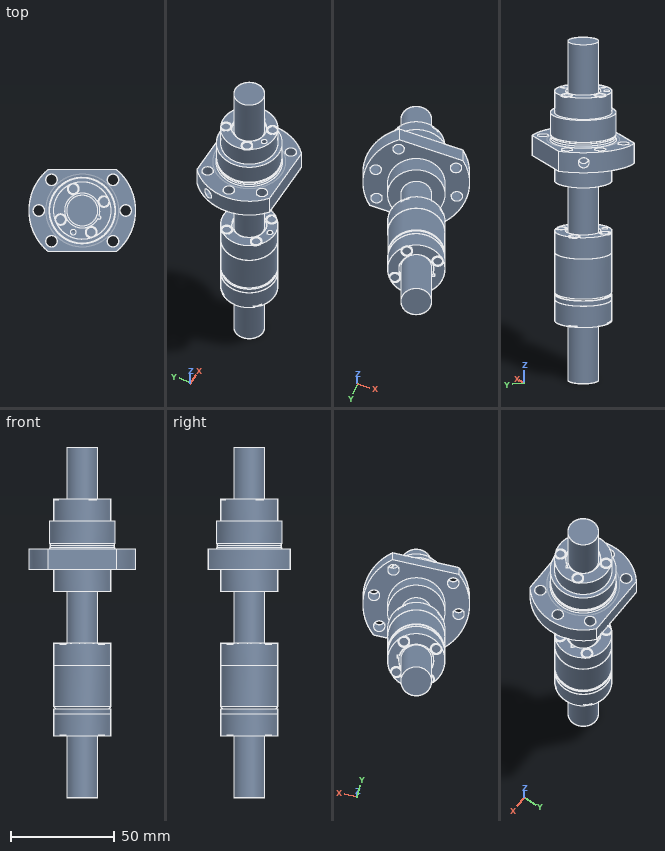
import cadquery as cq
import math

shaft_length = 170.0
shaft_radius = 7.5

nut_length = 45.0
cap_length = 10.7
cap_radius = 14.0
seal_recess_radius = 8.5
seal_recess_depth = 1.7
seal_notch_radius = 0.8
seal_notch_offset = 8.8
seal_notch_turn = -45.0
screw_circle_radius = 11.4
screw_recess_diameter = 5.6
screw_recess_depth = 0.5
screw_head_radius = 2.4
pin_hole_turn = -135.0
pin_hole_radius = 1.4
pin_hole_depth = 5.1
pin_tip_angle = 120.0
screw_count = 4

flanged_nut_bottom = 100.0
flanged_nut_turn = 22.5
flange_bottom = flanged_nut_bottom + cap_length
flange_diameter = 51.8
flange_radius = flange_diameter / 2
flange_width = 40.0
flange_thickness = 10.0
collar_radius = 16.0
collar_bottom = 123.2
wedge_top_radius = 15.8
wedge_bottom_radius = 15.5
wedge_height = 0.8
neck_radius = 15.6
neck_length = 1.0
flare_radius = 16.2
dish_radius = 17.7
dish_depth = 0.2
mount_circle_radius = 21.0
mount_hole_radius = 2.7
mount_hole_angles = (0, 45, 135, 180, 225, 315)
oil_hole_radius = 2.5
oil_hole_depth = 8.3
oil_hole_angle = 157.5

plain_nut_bottom = 30.0
plain_nut_turn = 45.0
body_clearance = 0.08
body_radius = cap_radius - body_clearance
groove_bottom = 43.2
groove_width = 1.0
groove_radius = 13.1


def cylinder(radius, bottom, height):
    """Cylinder about the Z axis."""
    return cq.Workplane("XY").workplane(offset=bottom).circle(radius).extrude(height)


def turned(profile):
    """Solid of revolution about the Z axis from (radius, z) points."""
    return cq.Workplane("XZ").polyline(profile).close().revolve(360, (0, 0), (0, 1))


def polar(radius, angle):
    """XY point at an angle in degrees."""
    return (radius * math.cos(math.radians(angle)), radius * math.sin(math.radians(angle)))


def screw_angles(turn):
    """Evenly spaced screw angles, starting at turn."""
    return [turn + 360 / screw_count * i for i in range(screw_count)]


def screw_rings(bottom, turn):
    """Shallow ring-shaped gaps around the cap screw heads."""
    points = [polar(screw_circle_radius, angle) for angle in screw_angles(turn)]
    return (
        cq.Workplane("XY")
        .workplane(offset=bottom)
        .pushPoints(points)
        .circle(screw_recess_diameter / 2)
        .circle(screw_head_radius)
        .extrude(screw_recess_depth)
    )


def seal_recess(bottom, turn):
    """Round recess beside the shaft with one small notch in its rim."""
    notch = (
        cq.Workplane("XY")
        .workplane(offset=bottom)
        .pushPoints([polar(seal_notch_offset, turn + seal_notch_turn)])
        .circle(seal_notch_radius)
        .extrude(seal_recess_depth)
    )
    return cylinder(seal_recess_radius, bottom, seal_recess_depth).union(notch)


def pin_hole(top, turn):
    """Blind drilled hole with a conical tip."""
    tip_length = pin_hole_radius / math.tan(math.radians(pin_tip_angle / 2))
    profile = [
        (0, 0),
        (pin_hole_radius, 0),
        (pin_hole_radius, -pin_hole_depth),
        (0, -pin_hole_depth - tip_length),
    ]
    x, y = polar(screw_circle_radius, turn + pin_hole_turn)
    return turned(profile).translate((x, y, top))


def cut_top_cap(nut, top, turn):
    """Seal recess, screw rings and pin hole in the top face of a nut."""
    return (
        nut.cut(seal_recess(top - seal_recess_depth, turn))
        .cut(screw_rings(top - screw_recess_depth, turn))
        .cut(pin_hole(top, turn))
    )


def make_flange():
    """Round flange with two flats, a dished top, mounting holes and a radial oil hole."""
    top = flange_bottom + flange_thickness
    blank = cylinder(flange_radius, flange_bottom, flange_thickness)
    flats = (
        cq.Workplane("XY")
        .workplane(offset=flange_bottom)
        .rect(flange_diameter, flange_width)
        .extrude(flange_thickness)
    )
    dish = turned([
        (0, top - dish_depth),
        (flare_radius, top - dish_depth),
        (dish_radius, top),
        (0, top),
    ])
    mount_holes = (
        cq.Workplane("XY")
        .workplane(offset=flange_bottom)
        .pushPoints([polar(mount_circle_radius, angle) for angle in mount_hole_angles])
        .circle(mount_hole_radius)
        .extrude(flange_thickness)
    )
    oil_hole = (
        cq.Workplane("YZ", origin=(flange_radius - oil_hole_depth, 0, flange_bottom + flange_thickness / 2))
        .circle(oil_hole_radius)
        .extrude(oil_hole_depth)
        .rotate((0, 0, 0), (0, 0, 1), oil_hole_angle)
    )
    return blank.intersect(flats).cut(dish).cut(mount_holes).cut(oil_hole)


def make_collar_and_neck():
    """Collar on an undercut neck that flares out into the dished flange top."""
    collar_top = flanged_nut_bottom + nut_length - cap_length
    wedge_bottom = collar_bottom - wedge_height
    return turned([
        (0, flange_bottom),
        (flare_radius, flange_bottom),
        (flare_radius, flange_bottom + flange_thickness - dish_depth),
        (neck_radius, wedge_bottom - neck_length),
        (neck_radius, wedge_bottom),
        (wedge_bottom_radius, wedge_bottom),
        (wedge_top_radius, collar_bottom),
        (collar_radius, collar_bottom),
        (collar_radius, collar_top),
        (0, collar_top),
    ])


def make_flanged_nut():
    """Flanged nut with caps, neck and collar around the shaft."""
    nut = (
        cylinder(cap_radius, flanged_nut_bottom, nut_length)
        .union(make_collar_and_neck())
        .union(make_flange())
        .cut(cylinder(shaft_radius, flanged_nut_bottom, nut_length))
    )
    return cut_top_cap(nut, flanged_nut_bottom + nut_length, flanged_nut_turn)


def make_plain_nut():
    """Sleeve with slightly larger caps and a groove whose wall tapers inward to a flat ledge."""
    top = plain_nut_bottom + nut_length
    lower_seam = plain_nut_bottom + cap_length
    upper_seam = top - cap_length
    nut = turned([
        (shaft_radius, plain_nut_bottom),
        (cap_radius, plain_nut_bottom),
        (cap_radius, lower_seam),
        (body_radius, lower_seam),
        (body_radius, groove_bottom),
        (groove_radius, groove_bottom),
        (body_radius, groove_bottom + groove_width),
        (body_radius, upper_seam),
        (cap_radius, upper_seam),
        (cap_radius, top),
        (shaft_radius, top),
    ])
    nut = nut.cut(screw_rings(plain_nut_bottom, plain_nut_turn)).cut(
        seal_recess(plain_nut_bottom, plain_nut_turn)
    )
    return cut_top_cap(nut, top, plain_nut_turn)


shaft = cylinder(shaft_radius, 0, shaft_length)
flanged_nut = make_flanged_nut()
plain_nut = make_plain_nut()

result = cq.Compound.makeCompound([shaft.val(), flanged_nut.val(), plain_nut.val()])